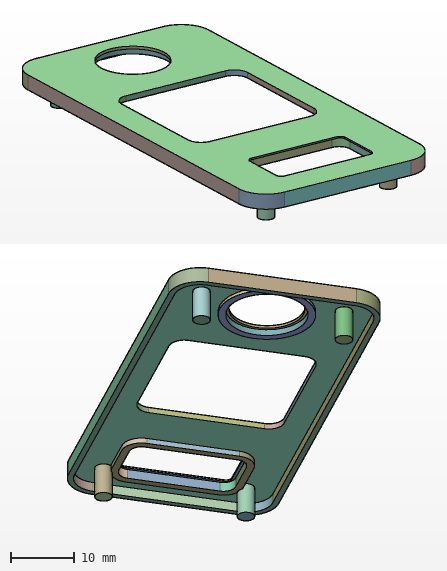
import cadquery as cq

plate_length = 69.5
plate_width = 34.5
total_height = 6.2
plate_thickness = 2.6
plate_corner_radius = 5.15
skin_thickness = 1.0
rim_thickness = 1.0

main_window_length = 23.6
main_window_width = 24.05
main_window_radius = 2.5
main_window_x = -1.7

round_hole_diameter = 12.0
round_seat_diameter = 13.0
round_collar_diameter = 15.4
round_lip_thickness = 0.5
round_collar_depth = 1.5
round_hole_x = -25.5

side_window_length = 9.25
side_window_width = 18.2
side_window_radius = 1.0
side_seat_clearance = 0.5
side_seat_radius = 2.0
side_lip_thickness = 0.3
side_collar_depth = 1.9
side_window_x = 24.4

collar_wall = (round_collar_diameter - round_seat_diameter) / 2

pin_diameter = 2.8
pin_spacing_x = 57.95
pin_spacing_y = 23.35


def rounded_block(length, width, corner_radius, top_depth, bottom_depth, center_x=0.0):
    """Block with rounded vertical edges between two depths below the top face."""
    return (
        cq.Workplane("XY", origin=(center_x, 0, -bottom_depth))
        .rect(length, width)
        .extrude(bottom_depth - top_depth)
        .edges("|Z")
        .fillet(corner_radius)
    )


def round_block(diameter, top_depth, bottom_depth):
    """Cylinder on the round hole axis between two depths below the top face."""
    return (
        cq.Workplane("XY", origin=(round_hole_x, 0, -bottom_depth))
        .circle(diameter / 2)
        .extrude(bottom_depth - top_depth)
    )


def side_block(margin, corner_radius, top_depth, bottom_depth):
    """Side window outline, grown by a margin, between two depths below the top face."""
    return rounded_block(
        side_window_length + 2 * margin,
        side_window_width + 2 * margin,
        corner_radius,
        top_depth,
        bottom_depth,
        side_window_x,
    )


plate = rounded_block(plate_length, plate_width, plate_corner_radius, 0, plate_thickness)
hollow = rounded_block(
    plate_length - 2 * rim_thickness,
    plate_width - 2 * rim_thickness,
    plate_corner_radius - rim_thickness,
    skin_thickness,
    plate_thickness,
)
tray = plate.cut(hollow)

round_collar = round_block(round_collar_diameter, 0, round_collar_depth)
side_collar = side_block(
    side_seat_clearance + collar_wall, side_seat_radius + collar_wall, 0, side_collar_depth
)
pins = (
    cq.Workplane("XY", origin=(0, 0, -total_height))
    .rect(pin_spacing_x, pin_spacing_y, forConstruction=True)
    .vertices()
    .circle(pin_diameter / 2)
    .extrude(total_height - skin_thickness / 2)
)
body = tray.union(round_collar).union(side_collar).union(pins)

main_window = rounded_block(
    main_window_length, main_window_width, main_window_radius, 0, plate_thickness, main_window_x
)
round_hole = round_block(round_hole_diameter, 0, plate_thickness)
round_seat = round_block(round_seat_diameter, round_lip_thickness, round_collar_depth)
side_window = side_block(0, side_window_radius, 0, plate_thickness)
side_seat = side_block(
    side_seat_clearance, side_seat_radius, side_lip_thickness, side_collar_depth
)

result = body
for opening in (main_window, round_hole, round_seat, side_window, side_seat):
    result = result.cut(opening)